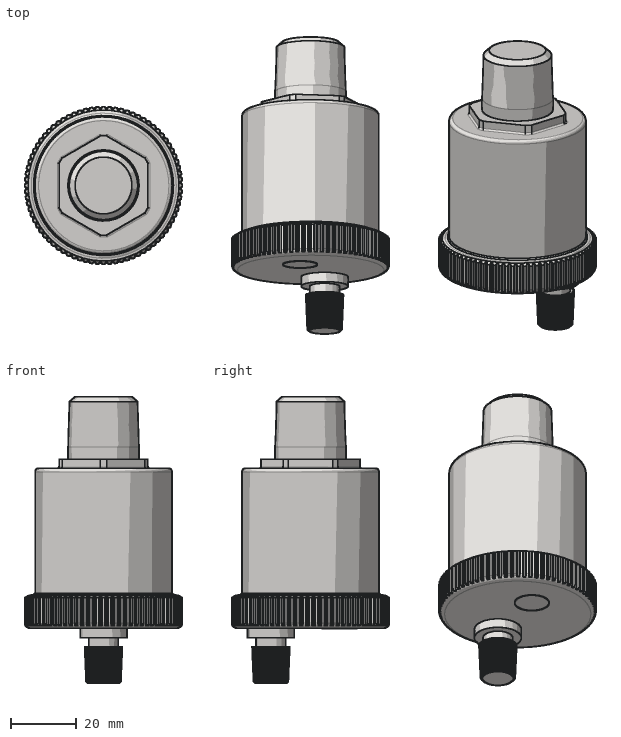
import cadquery as cq
import math

TOTAL_HEIGHT = 87.1
TOP_Z = 70.4
BOTTOM_Z = TOP_Z - TOTAL_HEIGHT

HOUSING_RADIUS = 20.8
HOUSING_TOP_Z = 48.6
HOUSING_RIM_ROUND = 1.05

CAP_RADIUS = 23.95
CAP_TOP_Z = 10.7
CAP_COLLAR_RADIUS = 21.25
CAP_COLLAR_Z = 10.3
CAP_STEP_RADIUS = 22.0
CAP_STEP_Z = 10.1
CAP_SHOULDER_RADIUS = 22.9
CAP_SHOULDER_Z = 9.9
CAP_EDGE_Z = 9.2
CAP_BOTTOM_ROUND = 1.7
CAP_GROOVES = 80
CAP_GROOVE_DEPTH = 0.6
CAP_GROOVE_FLOOR = 0.5
CAP_GROOVE_MOUTH = 1.1
CAP_GROOVE_START_Z = 0.8

HEX_ACROSS_FLATS = 27.0
HEX_CORNER_RADIUS = 15.1
HEX_TOP_Z = 51.4
HEX_FOOT_ROUND = 0.5

FITTING_RADIUS = 10.8
FITTING_TOP_RADIUS = 10.4
FITTING_CONE_Z = 55.1
FITTING_CHAMFER_WIDTH = 1.7
FITTING_CHAMFER_HEIGHT = 1.6

CONNECTOR_Y = -12.0
FLANGE_RADIUS = 7.1
FLANGE_HEIGHT = 2.9
NECK_RADIUS = 4.5
NECK_HEIGHT = 2.8
NUT_TOP_Z = -(FLANGE_HEIGHT + NECK_HEIGHT)
NUT_TOP_RADIUS = 5.75
NUT_BOTTOM_RADIUS = 5.3
NUT_CHAMFER = 0.6
NUT_GROOVES = 60
NUT_GROOVE_DEPTH = 0.35
NUT_GROOVE_FLOOR = 0.2
NUT_GROOVE_MOUTH = 0.4

PAD_Y = 8.8
PAD_RADIUS = 5.2
PAD_HEIGHT = 0.2

OVERLAP = 0.9


def cylinder(radius, bottom_z, top_z, y=0.0):
    return cq.Workplane("XY", origin=(0, y, bottom_z)).circle(radius).extrude(top_z - bottom_z)


def knurl_cutter(radius, count, depth, floor, mouth, bottom_z, top_z, lean=0.0):
    """Ring of trapezoid grooves leaving a tooth on each axis; grooves lean out by `lean` degrees going up."""
    outer = radius + OVERLAP
    outer_half = floor / 2 + (mouth - floor) / 2 * (depth + OVERLAP) / depth
    inner = radius - depth
    corners = [(inner, -floor / 2), (outer, -outer_half), (outer, outer_half), (inner, floor / 2)]
    groove = cq.Workplane("XY", origin=(0, 0, bottom_z)).polyline(corners).close().extrude(top_z - bottom_z)
    groove = groove.rotate((radius, 0, bottom_z), (radius, 1, bottom_z), lean).val()
    step = 360 / count
    grooves = [groove.rotate(cq.Vector(0, 0, 0), cq.Vector(0, 0, 1), (i + 0.5) * step) for i in range(count)]
    return cq.Workplane(obj=cq.Compound.makeCompound(grooves))


def make_housing():
    housing = cylinder(HOUSING_RADIUS, 0, HOUSING_TOP_Z)
    return housing.faces(">Z").edges().fillet(HOUSING_RIM_ROUND)


def make_cap():
    bottom_arc_offset = CAP_BOTTOM_ROUND * (1 - math.sqrt(0.5))
    cap = (
        cq.Workplane("XZ")
        .lineTo(CAP_RADIUS - CAP_BOTTOM_ROUND, 0)
        .threePointArc((CAP_RADIUS - bottom_arc_offset, bottom_arc_offset), (CAP_RADIUS, CAP_BOTTOM_ROUND))
        .lineTo(CAP_RADIUS, CAP_EDGE_Z)
        .lineTo(CAP_SHOULDER_RADIUS, CAP_SHOULDER_Z)
        .lineTo(CAP_STEP_RADIUS, CAP_STEP_Z)
        .lineTo(CAP_COLLAR_RADIUS, CAP_COLLAR_Z)
        .lineTo(HOUSING_RADIUS, CAP_TOP_Z)
        .lineTo(0, CAP_TOP_Z)
        .close()
        .revolve(360, (0, 0, 0), (0, 1, 0))
    )
    grooves = knurl_cutter(
        CAP_RADIUS, CAP_GROOVES, CAP_GROOVE_DEPTH, CAP_GROOVE_FLOOR, CAP_GROOVE_MOUTH,
        CAP_GROOVE_START_Z, CAP_TOP_Z,
    )
    return cap.cut(grooves)


def make_hexagon(across_flats, corner_radius, bottom_z, top_z):
    """Hexagon with flats facing -X and +X and its corners turned to a circle."""
    corner_circle = across_flats / math.sqrt(3)
    corners = [
        (corner_circle * math.sin(math.radians(60 * i)), corner_circle * math.cos(math.radians(60 * i)))
        for i in range(6)
    ]
    prism = cq.Workplane("XY", origin=(0, 0, bottom_z)).polyline(corners).close().extrude(top_z - bottom_z)
    return prism.intersect(cylinder(corner_radius, bottom_z, top_z))


def add_hexagon(body):
    """Join the hexagon to the housing and round the inside corner at its foot."""
    body = body.union(make_hexagon(HEX_ACROSS_FLATS, HEX_CORNER_RADIUS, HOUSING_TOP_Z, HEX_TOP_Z))
    half = HEX_CORNER_RADIUS + OVERLAP / 2
    foot_edges = cq.selectors.BoxSelector(
        (-half, -half, HOUSING_TOP_Z - HEX_FOOT_ROUND),
        (half, half, HOUSING_TOP_Z + HEX_FOOT_ROUND),
    )
    return body.edges(foot_edges).fillet(HEX_FOOT_ROUND)


def make_fitting():
    chamfer_z = TOP_Z - FITTING_CHAMFER_HEIGHT
    outline = [
        (0, HOUSING_TOP_Z),
        (FITTING_RADIUS, HOUSING_TOP_Z),
        (FITTING_RADIUS, FITTING_CONE_Z),
        (FITTING_TOP_RADIUS, chamfer_z),
        (FITTING_TOP_RADIUS - FITTING_CHAMFER_WIDTH, TOP_Z),
        (0, TOP_Z),
    ]
    return cq.Workplane("XZ").polyline(outline).close().revolve(360, (0, 0, 0), (0, 1, 0))


def make_connector():
    flange = cylinder(FLANGE_RADIUS, -FLANGE_HEIGHT, OVERLAP)
    neck = cylinder(NECK_RADIUS, NUT_TOP_Z - OVERLAP, 0)
    nut_outline = [
        (0, BOTTOM_Z),
        (NUT_BOTTOM_RADIUS - NUT_CHAMFER, BOTTOM_Z),
        (NUT_BOTTOM_RADIUS, BOTTOM_Z + NUT_CHAMFER),
        (NUT_TOP_RADIUS, NUT_TOP_Z),
        (0, NUT_TOP_Z),
    ]
    nut = cq.Workplane("XZ").polyline(nut_outline).close().revolve(360, (0, 0, 0), (0, 1, 0))
    nut_height = NUT_TOP_Z - BOTTOM_Z
    lean = math.degrees(math.atan((NUT_TOP_RADIUS - NUT_BOTTOM_RADIUS) / (nut_height - NUT_CHAMFER)))
    grooves = knurl_cutter(
        NUT_BOTTOM_RADIUS, NUT_GROOVES, NUT_GROOVE_DEPTH, NUT_GROOVE_FLOOR, NUT_GROOVE_MOUTH,
        BOTTOM_Z - OVERLAP, NUT_TOP_Z + OVERLAP, lean,
    )
    nut = nut.cut(grooves)
    return flange.union(neck).union(nut).translate((0, CONNECTOR_Y, 0))


pad = cylinder(PAD_RADIUS, -PAD_HEIGHT, OVERLAP, PAD_Y)

result = add_hexagon(make_housing())
result = result.union(make_fitting())
result = result.union(make_cap())
result = result.union(make_connector())
result = result.union(pad)